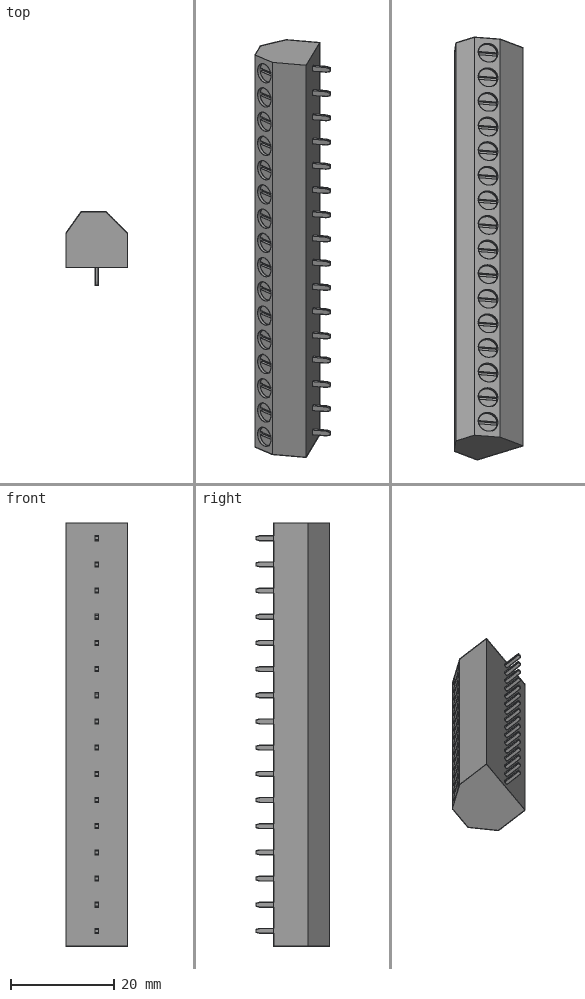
import cadquery as cq

length = 82.2
width = 12.0
overall_depth = 14.3
pin_length = 3.45
depth = overall_depth - pin_length
slope_depth = 4.2
screw_slope_width = 3.0
wire_slope_width = 4.2

pole_count = 16
pitch = 5.08

pin_width = 0.65
pin_height = 1.0
pin_taper_length = 0.7
pin_taper_inset = 0.205

screw_diameter = 3.9
recess_depth = 0.65
screw_offset = 0.2
slot_width = 0.65
slot_depth = 0.65

pole_heights = [
    (i - (pole_count - 1) / 2) * pitch for i in range(pole_count)
]


def make_housing():
    """Six-sided bar with its -Y face on y = 0, centred on X and Z."""
    half_width = width / 2
    outline = [
        (-half_width, 0),
        (half_width, 0),
        (half_width, depth - slope_depth),
        (half_width - wire_slope_width, depth),
        (-half_width + screw_slope_width, depth),
        (-half_width, depth - slope_depth),
    ]
    return cq.Workplane("XY").polyline(outline).close().extrude(length / 2, both=True)


def make_pin(z):
    """Rectangular pin pointing to -Y, with its tip narrowed along Z."""
    half_height = pin_height / 2
    tip_half_height = half_height - pin_taper_inset
    taper_start = -(pin_length - pin_taper_length)
    side = [
        (0, z - half_height),
        (taper_start, z - half_height),
        (-pin_length, z - tip_half_height),
        (-pin_length, z + tip_half_height),
        (taper_start, z + half_height),
        (0, z + half_height),
    ]
    return cq.Workplane("YZ").polyline(side).close().extrude(pin_width / 2, both=True)


def make_screw_cut(z):
    """Round recess and screwdriver slot, sunk square to the -X slope."""
    face_centre = cq.Vector(
        (-width + screw_slope_width) / 2, depth - slope_depth / 2, z
    )
    plane = cq.Plane(
        origin=face_centre,
        xDir=(screw_slope_width, slope_depth, 0),
        normal=(-slope_depth, screw_slope_width, 0),
    )
    face = cq.Workplane(plane).center(-screw_offset, 0)
    recess = face.circle(screw_diameter / 2).extrude(-recess_depth)
    total_depth = recess_depth + slot_depth
    slot = face.rect(screw_diameter, slot_width).extrude(-total_depth)
    slot = slot.intersect(face.circle(screw_diameter / 2).extrude(-total_depth))
    return recess.union(slot)


result = make_housing()
for height in pole_heights:
    result = result.union(make_pin(height))
    result = result.cut(make_screw_cut(height))